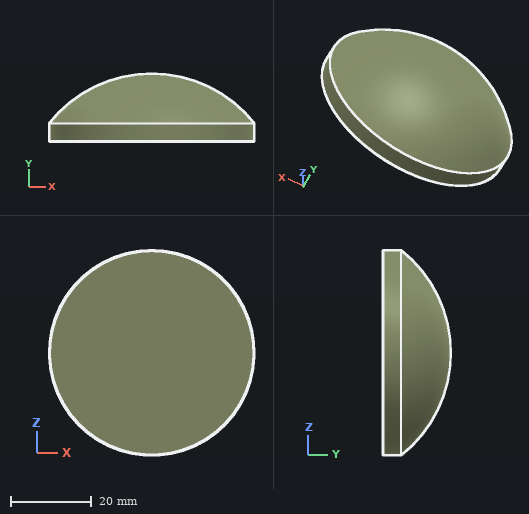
import cadquery as cq
import math

diameter = 50.8
center_thickness = 16.93
edge_thickness = 4.6
bevel = 0.25

radius = diameter / 2
dome_height = center_thickness - edge_thickness
dome_radius = (radius**2 + dome_height**2) / (2 * dome_height)


def dome_midpoint():
    """Point (y, z) halfway along the spherical arc from the rim to the apex."""
    half_angle = math.asin(radius / dome_radius) / 2
    sphere_center_y = center_thickness - dome_radius
    return (
        sphere_center_y + dome_radius * math.cos(half_angle),
        dome_radius * math.sin(half_angle),
    )


def lens():
    """Half profile in the YZ plane, revolved about the optical axis."""
    profile = (
        cq.Workplane("YZ")
        .moveTo(0, 0)
        .lineTo(0, radius - bevel)
        .lineTo(bevel, radius)
        .lineTo(edge_thickness, radius)
        .threePointArc(dome_midpoint(), (center_thickness, 0))
        .close()
    )
    return profile.revolve(360, (0, 0, 0), (1, 0, 0))


result = lens()